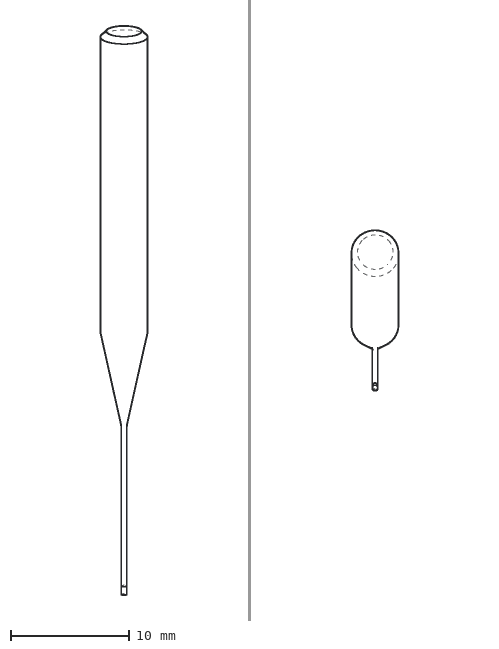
import cadquery as cq
import math

total_length = 50.0
shank_radius = 2.0
shank_chamfer = 0.5

tip_radius = 0.25
tip_length = 0.75

neck_radius = 0.24
neck_top = 14.75
blend_radius = 2.0
cone_half_angle = math.radians(12.0)

blend_top = neck_top + blend_radius * math.sin(cone_half_angle)
blend_top_radius = neck_radius + blend_radius * (1 - math.cos(cone_half_angle))
blend_mid = neck_top + blend_radius * math.sin(cone_half_angle / 2)
blend_mid_radius = neck_radius + blend_radius * (1 - math.cos(cone_half_angle / 2))
cone_top = blend_top + (shank_radius - blend_top_radius) / math.tan(cone_half_angle)


def make_shank():
    """Chamfered shank, cone and neck, revolved about the tool axis."""
    return (
        cq.Workplane("XZ")
        .moveTo(0, tip_length)
        .lineTo(neck_radius, tip_length)
        .lineTo(neck_radius, neck_top)
        .threePointArc((blend_mid_radius, blend_mid), (blend_top_radius, blend_top))
        .lineTo(shank_radius, cone_top)
        .lineTo(shank_radius, total_length - shank_chamfer)
        .lineTo(shank_radius - shank_chamfer, total_length)
        .lineTo(0, total_length)
        .close()
        .revolve(360, (0, 0), (0, 1))
    )


def make_cutting_tip():
    """Plain cylinder that meets the lower end of the neck."""
    return cq.Workplane("XY").circle(tip_radius).extrude(tip_length)


shank = make_shank()
cutting_tip = make_cutting_tip()

result = cq.Compound.makeCompound([shank.val(), cutting_tip.val()])